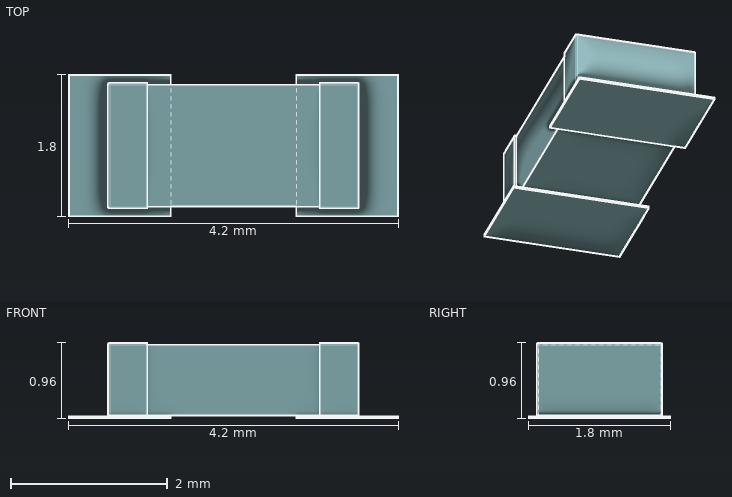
import cadquery as cq

overall_length = 4.2
pad_length = 1.3
pad_width = 1.8
pad_thickness = 0.025
pad_center_x = (overall_length - pad_length) / 2

overall_height = 0.96
pad_gap = 0.01
chip_length = 3.2
terminal_length = 0.5
terminal_width = 1.6
chip_bottom_z = pad_thickness + pad_gap
terminal_height = overall_height - chip_bottom_z
terminal_round = 0.02
terminal_center_x = (chip_length - terminal_length) / 2

block_setback = 0.02
block_length = chip_length - 2 * terminal_length
block_width = terminal_width - 2 * block_setback
block_height = terminal_height - block_setback


def make_box(length, width, height, center_x, bottom_z):
    """Box centered on Y = 0, standing on the given height."""
    return (
        cq.Workplane("XY")
        .box(length, width, height, centered=(True, True, False))
        .translate((center_x, 0, bottom_z))
    )


def make_terminal(side):
    """End terminal, rounded at its outer end and along its long top edges; side is -1 or 1."""
    terminal = make_box(
        terminal_length, terminal_width, terminal_height, side * terminal_center_x, chip_bottom_z
    )
    outer_face = ">X" if side > 0 else "<X"
    rounded_edges = f"(|Z and {outer_face}) or (|Y and >Z and {outer_face}) or (|X and >Z)"
    return terminal.edges(rounded_edges).fillet(terminal_round)


def make_chip():
    """Central block and both terminals as one solid."""
    chip = make_box(block_length, block_width, block_height, 0, chip_bottom_z)
    for side in (-1, 1):
        chip = chip.union(make_terminal(side))
    return chip


def make_pad(side):
    """Thin rectangular pad under one end of the chip; side is -1 or 1."""
    return make_box(pad_length, pad_width, pad_thickness, side * pad_center_x, 0)


chip = make_chip()
pads = [make_pad(side) for side in (-1, 1)]

result = cq.Compound.makeCompound([chip.val(), *[pad.val() for pad in pads]])